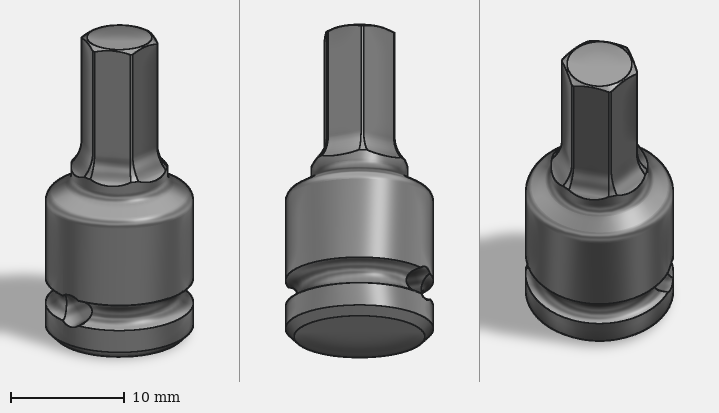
import cadquery as cq
import math

total_height = 28.0
body_radius = 6.5

base_chamfer = 0.75

groove_z = 4.0
groove_arc_radius = 1.2
groove_floor_radius = 5.5
pin_hole_diameter = 3.0

body_top_z = 12.47
shoulder_slope = math.radians(30)
shoulder_round = 1.0
neck_radius = 4.25

hex_sides = 6
hex_across_flats = 6.0
hex_corner_radius = 3.4
flare_radius = 3.0
flare_top_z = 18.0
tip_face_radius = 2.85
tip_slope = math.radians(30)


def arc_point(center, radius, angle):
    """Point on a circle in the (radius, height) half plane."""
    return (center[0] + radius * math.cos(angle), center[1] + radius * math.sin(angle))


def make_turned_blank():
    """Turned blank: body, groove, sloped shoulder, neck, corner flare and round bit with a tip cone."""
    groove_center_radius = groove_floor_radius + groove_arc_radius
    groove_half_width = math.sqrt(groove_arc_radius**2 - (groove_center_radius - body_radius) ** 2)

    tangent_angle = math.pi / 2 - shoulder_slope
    middle_angle = tangent_angle / 2
    outer_center = (body_radius - shoulder_round, body_top_z)
    cone_bottom = arc_point(outer_center, shoulder_round, tangent_angle)
    inner_center_radius = neck_radius + shoulder_round
    cone_top_radius = inner_center_radius - shoulder_round * math.cos(tangent_angle)
    cone_top_z = cone_bottom[1] + (cone_bottom[0] - cone_top_radius) * math.tan(shoulder_slope)
    neck_bottom_z = cone_top_z + shoulder_round * math.sin(tangent_angle)
    inner_center = (inner_center_radius, neck_bottom_z)

    corner_flare_center = (hex_corner_radius + flare_radius, flare_top_z)
    neck_angle = math.pi + math.acos((corner_flare_center[0] - neck_radius) / flare_radius)
    corner_flare_bottom = arc_point(corner_flare_center, flare_radius, neck_angle)
    corner_flare_middle = arc_point(corner_flare_center, flare_radius, (math.pi + neck_angle) / 2)
    tip_cone_height = (hex_corner_radius - tip_face_radius) * math.tan(tip_slope)

    profile = (
        cq.Workplane("XZ")
        .moveTo(0, 0)
        .lineTo(body_radius - base_chamfer, 0)
        .lineTo(body_radius, base_chamfer)
        .lineTo(body_radius, groove_z - groove_half_width)
        .threePointArc((groove_floor_radius, groove_z), (body_radius, groove_z + groove_half_width))
        .lineTo(body_radius, body_top_z)
        .threePointArc(arc_point(outer_center, shoulder_round, middle_angle), cone_bottom)
        .lineTo(cone_top_radius, cone_top_z)
        .threePointArc(
            arc_point(inner_center, shoulder_round, math.pi + middle_angle), (neck_radius, neck_bottom_z)
        )
        .lineTo(*corner_flare_bottom)
        .threePointArc(corner_flare_middle, (hex_corner_radius, flare_top_z))
        .lineTo(hex_corner_radius, total_height - tip_cone_height)
        .lineTo(tip_face_radius, total_height)
        .lineTo(0, total_height)
        .close()
    )
    return profile.revolve(360, (0, 0, 0), (0, 1, 0))


def make_flat_cutter():
    """Material removed outside the flat facing +X, down to the flare."""
    flat_offset = hex_across_flats / 2
    outer_offset = flat_offset + flare_radius
    flare_middle = arc_point((outer_offset, flare_top_z), flare_radius, math.radians(225))
    return (
        cq.Workplane("XZ")
        .moveTo(outer_offset, flare_top_z - flare_radius)
        .threePointArc(flare_middle, (flat_offset, flare_top_z))
        .lineTo(flat_offset, total_height)
        .lineTo(outer_offset, total_height)
        .close()
        .extrude(body_radius, both=True)
    )


def cut_hexagon(blank):
    """Cut the equally spaced flats, two of them facing +X and -X."""
    flat_cutter = make_flat_cutter()
    for index in range(hex_sides):
        blank = blank.cut(flat_cutter.rotate((0, 0, 0), (0, 0, 1), index * 360 / hex_sides))
    return blank


def make_pin_hole():
    """Cross hole along Y, through the whole body at the groove."""
    return (
        cq.Workplane("XZ")
        .center(0, groove_z)
        .circle(pin_hole_diameter / 2)
        .extrude(body_radius, both=True)
    )


result = cut_hexagon(make_turned_blank()).cut(make_pin_hole())